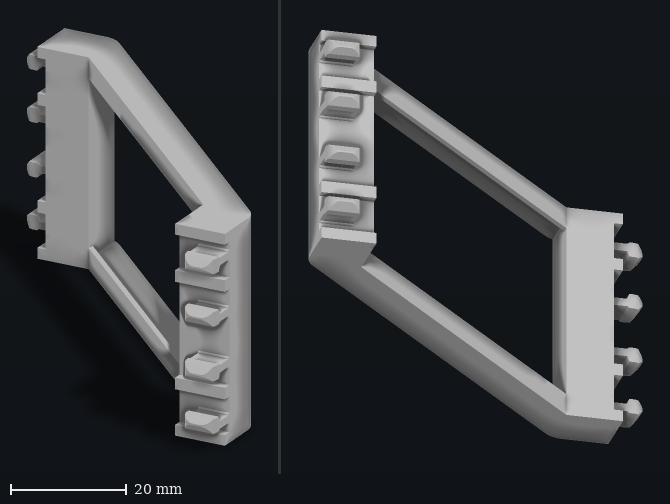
import cadquery as cq
import math

half_span = 37.4
height = 39.5
foot_thickness = 9.8
foot_length = 10.1
bar_thickness = 6.95
outer_corner_radius = 5.0

bar_height = 4.0
rebate_step = 2.0
lip_thickness = 1.0

end_rib_height = 2.0
middle_rib_height = 2.2
middle_rib_offset = 10.0
groove_depth = 1.6

hook_reach = 5.0
hook_width = 6.0
hook_plan_radius = 2.25
hook_offsets = (5.0, 14.95)
nose_length = 1.2
head_length = 2.85
back_slope_length = 0.4
head_up, head_down = 1.3, 1.4
stem_up, stem_down = 1.0, 0.45
tip_drop = 0.3
tip_width = 0.3
root_radius = 0.4

rib_top = -half_span + hook_reach
groove_floor = rib_top + groove_depth
inner_face = half_span - foot_thickness
inner_bend = rib_top + foot_length
outer_bend = inner_bend + inner_face + math.sqrt(2) * bar_thickness - half_span


def prism(points, prism_height):
    """Extrude a plan outline equally above and below Z = 0."""
    return cq.Workplane("XY").polyline(points).close().extrude(prism_height / 2, both=True)


def across_diagonal(shape):
    """Reflect a shape across the plane X = Y."""
    return shape.mirror((1, -1, 0))


def frame_body():
    """Bent strip, full height, with its two outer corners rounded."""
    outline = [
        (rib_top, inner_face),
        (rib_top, half_span),
        (outer_bend, half_span),
        (half_span, outer_bend),
        (half_span, rib_top),
        (inner_face, rib_top),
        (inner_face, inner_bend),
        (inner_bend, inner_face),
    ]
    body = prism(outline, height)
    for corner in ((outer_bend, half_span), (half_span, outer_bend)):
        edge = body.edges(cq.selectors.NearestToPointSelector((*corner, 0)))
        body = edge.fillet(outer_corner_radius)
    return body


def window():
    """Opening between the feet, with walls square to each foot's inner face."""
    opening = [
        (inner_bend, inner_face),
        (inner_bend, half_span),
        (half_span, half_span),
        (half_span, inner_bend),
        (inner_face, inner_bend),
    ]
    return prism(opening, height - 2 * bar_height)


def rebate():
    """Taller part of the window behind the lip along the inner edge."""
    lip_shift = math.sqrt(2) * lip_thickness
    recess = [
        (inner_bend, inner_face + lip_shift),
        (inner_bend, half_span),
        (half_span, half_span),
        (half_span, inner_bend),
        (inner_face + lip_shift, inner_bend),
    ]
    return prism(recess, height - 2 * (bar_height - rebate_step))


def rib_grooves():
    """Gaps between the ribs on the end face of one foot."""
    outer_top = height / 2 - end_rib_height
    outer_bottom = middle_rib_offset + middle_rib_height / 2
    inner_top = middle_rib_offset - middle_rib_height / 2
    spans = [(-outer_top, -outer_bottom), (-inner_top, inner_top), (outer_bottom, outer_top)]
    grooves = cq.Workplane("XY")
    for bottom, top in spans:
        groove = cq.Workplane("XY").box(groove_depth, foot_thickness, top - bottom, centered=False)
        grooves = grooves.add(groove.translate((rib_top, inner_face, bottom)))
    return grooves.combine()


def hook(offset, up):
    """Barbed hook centred at Z = offset; up is 1 or -1, the side its stem leans to."""
    tip = -half_span
    head_front = tip + nose_length
    head_back = tip + head_length
    stem_front = head_back + back_slope_length
    profile = (
        cq.Workplane("XZ", origin=(0, half_span, offset))
        .moveTo(tip, -up * (tip_drop + tip_width / 2))
        .lineTo(tip, -up * (tip_drop - tip_width / 2))
        .lineTo(head_front, up * head_up)
        .lineTo(head_back, up * head_up)
        .lineTo(stem_front, up * stem_up)
        .lineTo(groove_floor - root_radius, up * stem_up)
        .radiusArc((groove_floor, up * (stem_up + root_radius)), up * root_radius)
        .lineTo(groove_floor, -up * (stem_down + root_radius))
        .radiusArc((groove_floor - root_radius, -up * stem_down), up * root_radius)
        .lineTo(stem_front, -up * stem_down)
        .lineTo(head_back, -up * head_down)
        .lineTo(head_front, -up * head_down)
        .close()
        .extrude(hook_width)
    )
    plan = (
        cq.Workplane("XY")
        .box(groove_floor - tip, hook_width, height, centered=(False, False, True))
        .translate((tip, half_span - hook_width, 0))
        .edges("|Z and <X")
        .fillet(hook_plan_radius)
    )
    return profile.intersect(plan)


frame = frame_body().cut(window()).cut(rebate())
grooves = rib_grooves()
frame = frame.cut(grooves).cut(across_diagonal(grooves))
for offset in hook_offsets:
    lean = 1 if offset > middle_rib_offset else -1
    for side in (1, -1):
        end_hook = hook(side * offset, side * lean)
        frame = frame.union(end_hook).union(across_diagonal(end_hook))

result = frame